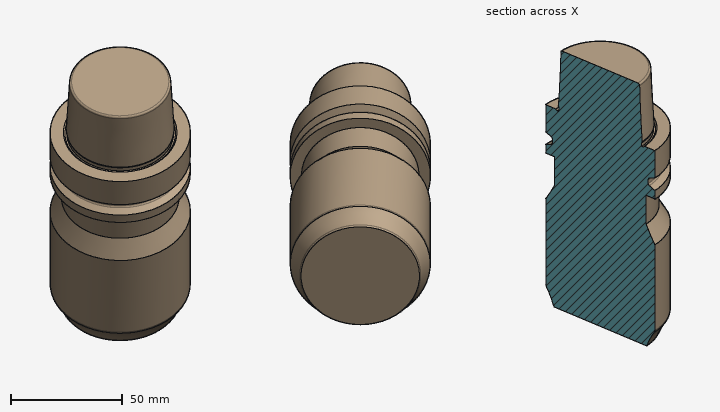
import cadquery as cq

total_height = 136.9
body_radius = 31.5

end_chamfer_height = 0.8
end_radius = 26.5
flare_bottom_radius = 27.1
flare_mid_radius = 28.9
flare_top_radius = 31.4
flare_top_z = 9.3
body_bottom_z = 10.1

body_top_z = 55.3
neck_radius = 26.4
neck_bottom_z = 64.3

flange_bottom_z = 79.3
flange_top_z = 105.0
groove_bottom_z = 83.9
groove_top_z = 90.5
groove_radius = 27.7
groove_side_height = 1.6
groove_fillet = 1.0
radius_tolerance = 0.01

recess_radius = 25.5
recess_floor_radius = 24.8
recess_depth = 0.7
relief_radius = 24.0
shank_base_radius = 24.2
relief_top_z = 106.2
shank_base_z = 106.9
shank_top_radius = 22.7
shank_edge_radius = 1.0


def turned_profile():
    """Half section in the XZ plane, from the bottom centre to the top centre."""
    flare_mid_z = (end_chamfer_height + flare_top_z) / 2
    recess_floor_z = flange_top_z - recess_depth
    return (
        cq.Workplane("XZ")
        .moveTo(0, 0)
        .lineTo(end_radius, 0)
        .lineTo(flare_bottom_radius, end_chamfer_height)
        .threePointArc((flare_mid_radius, flare_mid_z), (flare_top_radius, flare_top_z))
        .lineTo(body_radius, body_bottom_z)
        .lineTo(body_radius, body_top_z)
        .lineTo(neck_radius, neck_bottom_z)
        .lineTo(neck_radius, flange_bottom_z)
        .lineTo(body_radius, flange_bottom_z)
        .lineTo(body_radius, groove_bottom_z)
        .lineTo(groove_radius, groove_bottom_z + groove_side_height)
        .lineTo(groove_radius, groove_top_z - groove_side_height)
        .lineTo(body_radius, groove_top_z)
        .lineTo(body_radius, flange_top_z)
        .lineTo(recess_radius, flange_top_z)
        .lineTo(recess_floor_radius, recess_floor_z)
        .lineTo(relief_radius, recess_floor_z)
        .lineTo(relief_radius, relief_top_z)
        .lineTo(shank_base_radius, shank_base_z)
        .lineTo(shank_top_radius, total_height)
        .lineTo(0, total_height)
        .close()
    )


def is_groove_corner(edge):
    """True for the two circles where the groove sides meet its floor."""
    is_circle = edge.geomType() == "CIRCLE"
    return is_circle and abs(edge.radius() - groove_radius) < radius_tolerance


turned = turned_profile().revolve(360, (0, 0, 0), (0, 1, 0))
grooved = turned.edges().filter(is_groove_corner).fillet(groove_fillet)
result = grooved.faces(">Z").edges().fillet(shank_edge_radius)